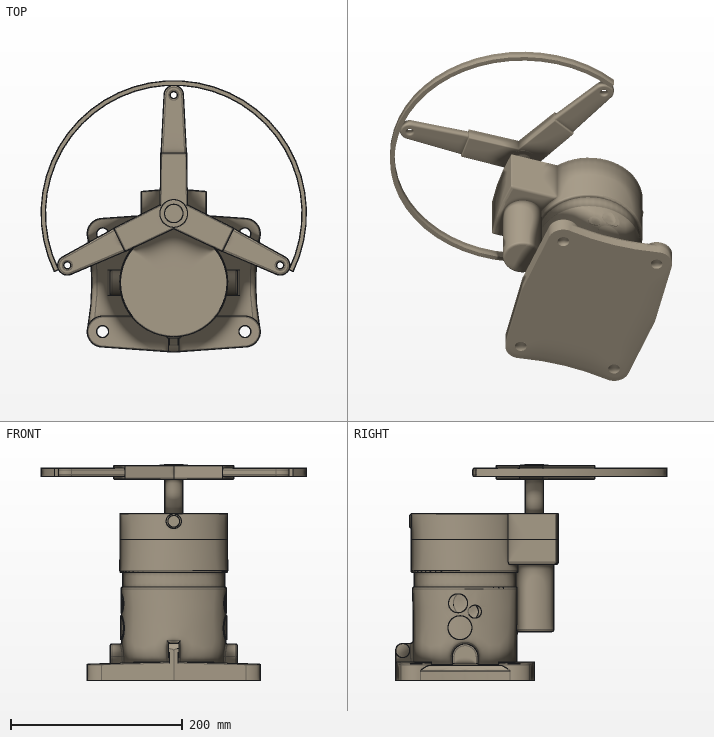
import cadquery as cq
import math


shaft_y = 80.7
shaft_diameter = 21.5
shaft_top = 252.0

hole_x = 83.0
hole_y = 57.0
mount_hole_diameter = 13.5
corner_radius = 18.0
plate_peak_y = 81.0
waist_x = 95.5
waist_end_y = 52.2
floor_top = 17.7
pad_edge_top = 19.3
pad_ridge_top = 21.8
waist_round = 6.3
pad_edge_round = 1.3

drum_radius = 123.0 / 2
drum_foot_radius = 60.0
drum_top = 109.2
neck_radius = 59.5
case_radius = 63.0
case_bottom = 126.0
case_shoulder = 135.0
split_z = 164.3
case_top = 195.0
box_half_width = 38.0
box_back_y = 109.0
box_back_bulge = 2.5
box_corner_round = 1.3
drum_root_round = 2.2
drum_edge_round = 2.2
box_edge_round = 3.2
cap_edge_round = 1.0

tube_radius = 22.8
tube_bottom = 57.0
tube_edge_round = 3.0

side_boss_half_width = 15.0
side_boss_x = 74.0
side_boss_spring_z = 28.0
side_boss_round = 2.0
side_boss_blend = 2.0
side_boss_foot = 2.5
front_rib_half_width = 5.0
front_boss_top = 43.5
front_nose_radius = 8.2
front_disc_half_width = 6.0
front_rib_blend = 3.5
button_face_radius = 62.0
dish_depth = 1.3
plain_button = (-6.0, 61.7, 28.0)
dished_buttons = [(-8.2, 90.2, 22.0), (11.5, 80.5, 15.2)]
plug_diameter = 17.7
plug_face_diameter = 13.5
plug_z = 185.8
plug_projection = 1.5

wheel_z = 242.8
rim_outer_radius = 154.8
rim_width = 5.5
rim_height = 9.8
hub_height = 16.8
hub_radius = 16.0
thick_arm_height = 16.0
arm_angles = [90, 206, 334]
rim_start_angle = arm_angles[2] - 360
rim_end_angle = arm_angles[1]
arm_hole_radius = 138.0
arm_hole_diameter = 8.0
arm_hole_round = 2.0
arm_step_radius = 70.5
arm_root_half_width = 15.0
thick_end_half_width = 15.2
arm_round = 2.2
hub_round = 1.3

rim_inner_radius = rim_outer_radius - rim_width
arm_tip_radius = rim_inner_radius - arm_hole_radius


def cylinder(radius, bottom, top, y=0):
    """Upright cylinder on the plane X = 0."""
    return cq.Workplane("XY", origin=(0, y, bottom)).circle(radius).extrude(top - bottom)


def mirror_both(half):
    """Union of a solid and its mirror image across the XZ plane."""
    return half.union(half.mirror("XZ"))


def pad_outline():
    """Outline that links two corner rounds, with a slightly pointed front edge."""
    to_peak = math.hypot(hole_x, plate_peak_y - hole_y)
    tangent_angle = math.atan2(plate_peak_y - hole_y, hole_x) + math.acos(corner_radius / to_peak)
    tangent_x = hole_x - corner_radius * math.cos(tangent_angle)
    tangent_y = hole_y + corner_radius * math.sin(tangent_angle)
    inner_y = hole_y - corner_radius
    return (
        cq.Workplane("XY")
        .moveTo(0, -plate_peak_y)
        .lineTo(tangent_x, -tangent_y)
        .threePointArc((hole_x + corner_radius, -hole_y), (hole_x, -inner_y))
        .lineTo(-hole_x, -inner_y)
        .threePointArc((-hole_x - corner_radius, -hole_y), (-tangent_x, -tangent_y))
        .close()
    )


def half_roof():
    """Prism along Y, for X > 0, whose top falls from the ridge to the ends of the pads."""
    end_x = hole_x + corner_radius
    overhang_x = 2 * end_x
    overhang_top = 2 * pad_edge_top - pad_ridge_top
    return (
        cq.Workplane("XZ")
        .lineTo(overhang_x, 0)
        .lineTo(overhang_x, overhang_top)
        .lineTo(0, pad_ridge_top)
        .close()
        .extrude(plate_peak_y)
    )


def mounting_pad():
    """Front pad with a rounded top edge, mirrored about its ridge."""
    half = pad_outline().extrude(pad_ridge_top).intersect(half_roof())
    half = half.faces(">Z").edges("not |Y").fillet(pad_edge_round)
    return half.union(half.mirror("YZ"))


def waisted_floor():
    """Lower middle of the plate, with concave sides rounded along their top edge."""
    end_x = hole_x + math.sqrt(corner_radius**2 - (hole_y - waist_end_y) ** 2)
    floor = (
        cq.Workplane("XY")
        .moveTo(-end_x, -waist_end_y)
        .lineTo(end_x, -waist_end_y)
        .threePointArc((waist_x, 0), (end_x, waist_end_y))
        .lineTo(-end_x, waist_end_y)
        .threePointArc((-waist_x, 0), (-end_x, -waist_end_y))
        .close()
        .extrude(floor_top)
    )
    return floor.faces(">Z").edges("<X or >X").fillet(waist_round)


def base_plate():
    return waisted_floor().union(mirror_both(mounting_pad()))


def mount_holes():
    return (
        cq.Workplane("XY")
        .rect(2 * hole_x, 2 * hole_y, forConstruction=True)
        .vertices()
        .circle(mount_hole_diameter / 2)
        .extrude(pad_ridge_top)
    )


def box_block(bottom, top):
    """Box behind the drum, with a slightly bulged back."""
    corner_y = box_back_y - box_back_bulge
    return (
        cq.Workplane("XY", origin=(0, 0, bottom))
        .moveTo(-box_half_width, 0)
        .lineTo(box_half_width, 0)
        .lineTo(box_half_width, corner_y)
        .threePointArc((0, box_back_y), (-box_half_width, corner_y))
        .close()
        .extrude(top - bottom)
        .edges("|Z")
        .edges(">Y")
        .fillet(box_corner_round)
    )


def tapered_drum():
    draft = math.degrees(math.atan2(drum_radius - drum_foot_radius, drum_top))
    return cq.Workplane("XY").circle(drum_foot_radius).extrude(drum_top, taper=-draft)


def housing_column():
    """Drum, neck, lower gear case and shaft tube."""
    drum = tapered_drum().faces(">Z").edges().fillet(drum_edge_round)
    neck = cylinder(neck_radius, drum_top - drum_edge_round, case_bottom + drum_edge_round)
    case = cylinder(case_radius, case_bottom, split_z).faces("<Z").edges().fillet(drum_edge_round)
    box = box_block(case_shoulder, split_z).faces("<Z").edges().fillet(box_edge_round)
    tube = cylinder(tube_radius, tube_bottom, case_shoulder + box_edge_round, shaft_y)
    tube = tube.faces("<Z").edges().fillet(tube_edge_round)
    return drum.union(neck).union(case).union(box).union(tube)


def drum_root(level):
    """Ring with a concave round where the drum meets a surface at the given height."""
    outer = drum_foot_radius + drum_root_round
    top = level + drum_root_round
    sag = drum_root_round * (1 - math.sqrt(0.5))
    return (
        cq.Workplane("XZ")
        .moveTo(neck_radius, 0)
        .lineTo(outer, 0)
        .lineTo(outer, level)
        .threePointArc((drum_foot_radius + sag, level + sag), (drum_foot_radius, top))
        .lineTo(neck_radius, top)
        .close()
        .revolve(360, (0, 0, 0), (0, 1, 0))
    )


def drum_roots():
    """Root rounds on the floor and, higher up, on the two pads."""
    pad_gap = 2 * (hole_y - corner_radius)
    between_pads = cq.Workplane("XY").box(2 * hole_x, pad_gap, 2 * case_top)
    pad_level = (pad_edge_top + pad_ridge_top) / 2
    return drum_root(floor_top).union(drum_root(pad_level).cut(between_pads))


def side_boss():
    """Arched boss on the -X side of the drum, with a concave foot below its end face."""
    boss = (
        cq.Workplane("YZ", origin=(-side_boss_x, 0, 0))
        .moveTo(-side_boss_half_width, 0)
        .lineTo(-side_boss_half_width, side_boss_spring_z)
        .threePointArc(
            (0, side_boss_spring_z + side_boss_half_width),
            (side_boss_half_width, side_boss_spring_z),
        )
        .lineTo(side_boss_half_width, 0)
        .close()
        .extrude(side_boss_x)
    )
    boss = boss.faces("<X").edges("not <Z").fillet(side_boss_round)
    sag = side_boss_foot * (1 - math.sqrt(0.5))
    foot = (
        cq.Workplane("XZ", origin=(0, side_boss_half_width, 0))
        .moveTo(-drum_foot_radius, 0)
        .lineTo(-side_boss_x - side_boss_foot, 0)
        .lineTo(-side_boss_x - side_boss_foot, floor_top)
        .threePointArc(
            (-side_boss_x - sag, floor_top + sag),
            (-side_boss_x, floor_top + side_boss_foot),
        )
        .lineTo(-drum_foot_radius, floor_top + side_boss_foot)
        .close()
        .extrude(2 * side_boss_half_width)
    )
    return boss, foot


def front_rib():
    """Round-nosed rib at the front of the drum, ending in a slightly wider disc."""
    nose_z = front_boss_top - front_nose_radius
    nose_y = -plate_peak_y + front_nose_radius
    rib_depth = plate_peak_y - front_nose_radius
    rib = (
        cq.Workplane("XY")
        .box(2 * front_rib_half_width, rib_depth, front_boss_top, centered=(True, False, False))
        .translate((0, nose_y, 0))
    )
    toe = (
        cq.Workplane("XY")
        .box(2 * front_rib_half_width, front_nose_radius, nose_z, centered=(True, False, False))
        .translate((0, -plate_peak_y, 0))
    )
    disc = (
        cq.Workplane("YZ", origin=(-front_disc_half_width, 0, 0))
        .center(nose_y, nose_z)
        .circle(front_nose_radius)
        .extrude(2 * front_disc_half_width)
    )
    return rib, toe.union(disc)


def blend(column):
    """Concave rounds where the side bosses and the front rib meet the drum."""
    boss_height = side_boss_spring_z + 1.1 * side_boss_half_width
    boss_zone = cq.selectors.BoxSelector(
        (-case_radius, -drum_radius / 2, 0.3), (case_radius, drum_radius / 2, boss_height)
    )
    column = column.edges("%BSPLINE").edges(boss_zone).fillet(side_boss_blend)
    rib_zone = cq.selectors.BoxSelector(
        (-front_rib_half_width - 0.3, -drum_radius, 0.3),
        (front_rib_half_width + 0.3, -neck_radius, front_boss_top + 0.3),
    )
    return column.edges("%BSPLINE or %CIRCLE").edges(rib_zone).fillet(front_rib_blend)


def drum_with_bosses():
    """Column with the side bosses and the front rib blended into the drum."""
    column = housing_column()
    boss, foot = side_boss()
    rib, nose = front_rib()
    column = column.union(boss).union(boss.mirror("YZ")).union(rib)
    column = blend(column)
    outline = pad_outline().extrude(case_top)
    column = column.union(foot).union(foot.mirror("YZ"))
    return column.union(nose.intersect(outline))


def button_blank(y, z, diameter):
    """Bar along X through both sides of the drum."""
    bar = cq.Workplane("YZ", origin=(-case_radius, y, z)).circle(diameter / 2)
    return bar.extrude(2 * case_radius)


def drum_buttons():
    """Round buttons on both sides of the drum, faced to one cylinder."""
    group = button_blank(*plain_button)
    for button in dished_buttons:
        group = group.union(button_blank(*button))
    return group.intersect(cylinder(button_face_radius, 0, drum_top))


def button_dishes():
    """Shallow spherical dishes in the two upper buttons of each side."""
    dishes = cq.Workplane("XY")
    for y, z, diameter in dished_buttons:
        sphere_radius = ((diameter / 2) ** 2 + dish_depth**2) / (2 * dish_depth)
        face_x = math.sqrt(button_face_radius**2 - y**2)
        centre_x = face_x - dish_depth + sphere_radius
        for side in (-1, 1):
            dishes = dishes.add(cq.Workplane("XY").sphere(sphere_radius).translate((side * centre_x, y, z)))
    return dishes


def make_housing():
    housing = drum_with_bosses().union(base_plate()).union(drum_roots()).union(drum_buttons())
    for dish in button_dishes().vals():
        housing = housing.cut(cq.Workplane(dish))
    return housing.cut(mount_holes())


def make_cap():
    """Upper gear case with a chamfered plug at the front."""
    cap = cylinder(case_radius, split_z, case_top).union(box_block(split_z, case_top))
    cap = cap.faces(">Z").edges().fillet(cap_edge_round)
    plug_length = case_radius + plug_projection
    plug = cq.Workplane("XZ", origin=(0, 0, plug_z)).circle(plug_diameter / 2).extrude(plug_length)
    plug = plug.faces("<Y").chamfer((plug_diameter - plug_face_diameter) / 2)
    return cap.union(plug)


def make_shaft():
    return cylinder(shaft_diameter / 2, case_top, shaft_top, shaft_y)


def place_on_shaft(body):
    return body.translate((0, shaft_y, wheel_z))


def centred_slab(outline, height):
    return outline.extrude(height / 2, both=True)


def thin_arm():
    """Tapered outer arm along +X with a round tip."""
    outline = (
        cq.Workplane("XY")
        .moveTo(0, -arm_root_half_width)
        .lineTo(arm_step_radius, -arm_root_half_width)
        .lineTo(arm_hole_radius, -arm_tip_radius)
        .threePointArc((rim_inner_radius, 0), (arm_hole_radius, arm_tip_radius))
        .lineTo(arm_step_radius, arm_root_half_width)
        .lineTo(0, arm_root_half_width)
        .close()
    )
    arm = centred_slab(outline, rim_height)
    arm = arm.faces("<Z or >Z").edges("not <X").fillet(arm_round)
    hole = centred_slab(
        cq.Workplane("XY").center(arm_hole_radius, 0).circle(arm_hole_diameter / 2), rim_height
    )
    arm = arm.cut(hole)
    return arm.faces("<Z or >Z").edges("%CIRCLE").edges(
        cq.selectors.RadiusNthSelector(0)
    ).fillet(arm_hole_round)


def thick_arm():
    """Inner part of an arm along +X."""
    outline = (
        cq.Workplane("XY")
        .moveTo(0, -hub_radius)
        .lineTo(arm_step_radius, -thick_end_half_width)
        .lineTo(arm_step_radius, thick_end_half_width)
        .lineTo(0, hub_radius)
        .close()
    )
    return centred_slab(outline, thick_arm_height)


def at_arm_angle(body, angle):
    return body.rotate((0, 0, 0), (0, 0, 1), angle)


def make_spider():
    spider = cq.Workplane("XY").circle(arm_root_half_width).extrude(rim_height / 2, both=True)
    for angle in arm_angles:
        spider = spider.union(at_arm_angle(thick_arm(), angle))
    spider = spider.faces("<Z or >Z").edges().fillet(hub_round)
    for angle in arm_angles:
        spider = spider.union(at_arm_angle(thin_arm(), angle))
    hub = centred_slab(cq.Workplane("XY").circle(hub_radius), hub_height)
    bore = centred_slab(cq.Workplane("XY").circle(shaft_diameter / 2), hub_height)
    return place_on_shaft(spider.union(hub).cut(bore))


def make_rim():
    """Open ring that ends on the centrelines of the two lower arms."""
    def polar(radius, angle):
        return (radius * math.cos(math.radians(angle)), radius * math.sin(math.radians(angle)))

    middle_angle = (rim_start_angle + rim_end_angle) / 2
    outline = (
        cq.Workplane("XY")
        .moveTo(*polar(rim_outer_radius, rim_start_angle))
        .threePointArc(
            polar(rim_outer_radius, middle_angle), polar(rim_outer_radius, rim_end_angle)
        )
        .lineTo(*polar(rim_inner_radius, rim_end_angle))
        .threePointArc(
            polar(rim_inner_radius, middle_angle), polar(rim_inner_radius, rim_start_angle)
        )
        .close()
    )
    return place_on_shaft(centred_slab(outline, rim_height))


housing = make_housing()
cap = make_cap()
shaft = make_shaft()
spider = make_spider()
rim = make_rim()

result = cq.Compound.makeCompound(
    [housing.val(), cap.val(), shaft.val(), spider.val(), rim.val()]
)